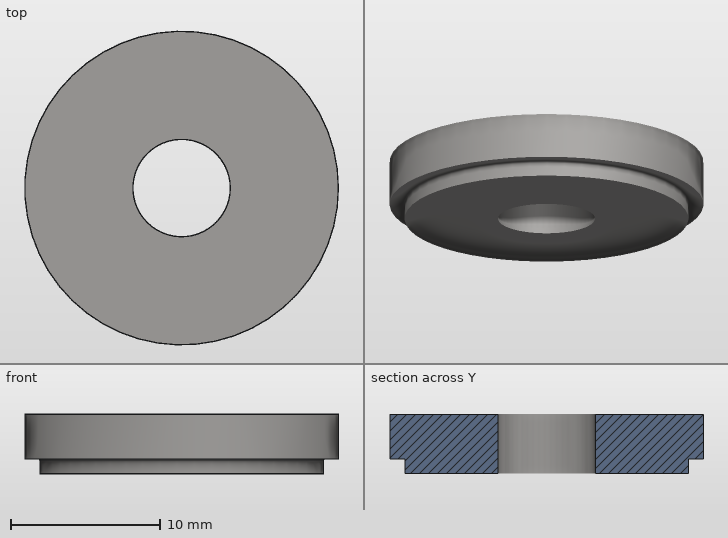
import cadquery as cq
import math

flange_diameter = 21.0
flange_thickness = 3.0
spigot_diameter = 19.0
spigot_height = 1.0
bore_diameter = 6.5
shoulder_fillet_radius = 0.1

flange_radius = flange_diameter / 2
spigot_radius = spigot_diameter / 2
bore_radius = bore_diameter / 2
total_height = spigot_height + flange_thickness

fillet_start_height = spigot_height - shoulder_fillet_radius
fillet_end_radius = spigot_radius + shoulder_fillet_radius
fillet_mid_offset = shoulder_fillet_radius * math.cos(math.radians(45))
fillet_midpoint = (
    fillet_end_radius - fillet_mid_offset,
    fillet_start_height + fillet_mid_offset,
)

half_section = (
    cq.Workplane("XZ")
    .moveTo(bore_radius, 0)
    .lineTo(spigot_radius, 0)
    .lineTo(spigot_radius, fillet_start_height)
    .threePointArc(fillet_midpoint, (fillet_end_radius, spigot_height))
    .lineTo(flange_radius, spigot_height)
    .lineTo(flange_radius, total_height)
    .lineTo(bore_radius, total_height)
    .close()
)

result = half_section.revolve(360, (0, 0, 0), (0, 1, 0))